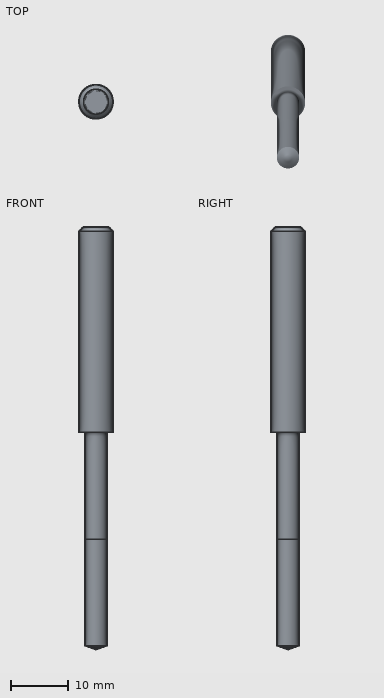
import cadquery as cq
import math

total_length = 74.0

shank_diameter = 6.0
shank_length = 36.0
shank_chamfer = 0.8

stem_diameter = 3.9
cutter_length = 19.3
point_angle = 140.0


def make_shank():
    """Chamfered cylindrical shank with a thinner neck reaching down to the cutter."""
    neck_length = total_length - shank_length - cutter_length
    neck = cq.Workplane("XY").workplane(offset=cutter_length).circle(stem_diameter / 2).extrude(neck_length)
    grip = (
        cq.Workplane("XY")
        .workplane(offset=total_length - shank_length)
        .circle(shank_diameter / 2)
        .extrude(shank_length)
        .faces(">Z")
        .chamfer(shank_chamfer)
    )
    return grip.union(neck)


def make_cutter():
    """Cylindrical cutting end with a conical point."""
    radius = stem_diameter / 2
    point_height = radius / math.tan(math.radians(point_angle / 2))
    return (
        cq.Workplane("XZ")
        .moveTo(0, 0)
        .lineTo(radius, point_height)
        .lineTo(radius, cutter_length)
        .lineTo(0, cutter_length)
        .close()
        .revolve(360, (0, 0, 0), (0, 1, 0))
    )


shank = make_shank()
cutter = make_cutter()

result = cq.Compound.makeCompound([shank.val(), cutter.val()])